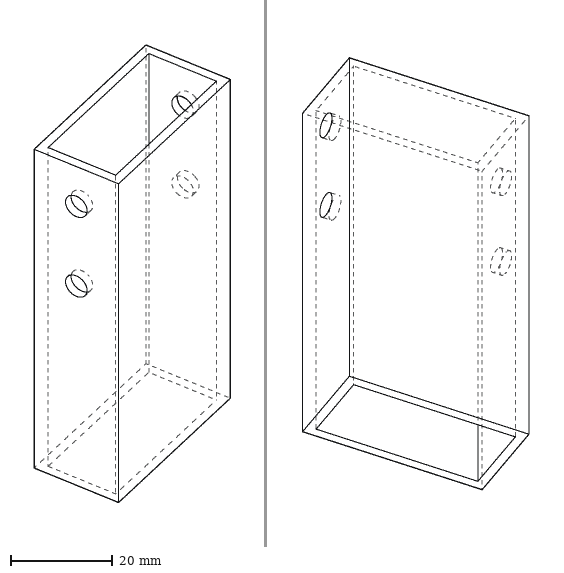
import cadquery as cq

width = 20.0
depth = 2 * width
height = 4 * width
wall = 2.0

hole_diameter = 5.1
hole_spacing = width
top_hole_drop = width / 2
hole_count = 2


def make_tube():
    outer = cq.Workplane("XY").rect(width, depth).extrude(height)
    bore = cq.Workplane("XY").rect(width - 2 * wall, depth - 2 * wall).extrude(height)
    return outer.cut(bore)


def make_cross_holes():
    centers = [(0, height - top_hole_drop - i * hole_spacing) for i in range(hole_count)]
    return (
        cq.Workplane("XZ")
        .pushPoints(centers)
        .circle(hole_diameter / 2)
        .extrude(depth, both=True)
    )


result = make_tube().cut(make_cross_holes())